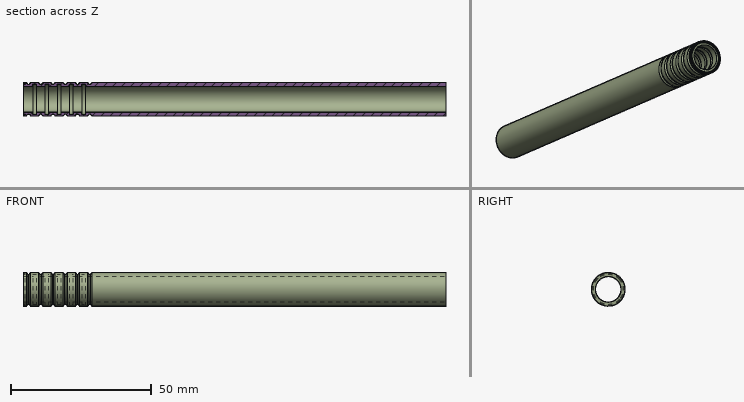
import cadquery as cq

length = 150.0
outer_diameter = 12.0
bore_diameter = 9.0
end_face = -length / 2

groove_count = 6
groove_pitch = 4.4
groove_start = 1.0
groove_width = 1.5
groove_floor_width = 0.5
groove_floor_diameter = 10.6

bore_groove_count = groove_count - 1
bore_groove_diameter = 10.6
bore_groove_width = 1.2
bore_groove_start = groove_start + (groove_width + groove_pitch - bore_groove_width) / 2

face_slot_inner_diameter = 10.6
face_slot_outer_diameter = 11.1
face_slot_depth = 0.6


def make_ring(start, width, inner_diameter, outer_diameter):
    """Square ring about the X axis, its near side at `start` from the grooved end."""
    return (
        cq.Workplane("YZ", origin=(end_face + start, 0, 0))
        .circle(outer_diameter / 2)
        .circle(inner_diameter / 2)
        .extrude(width)
    )


def make_outer_groove(start):
    """Cutter for one outer groove that opens at `start` from the grooved end."""
    near_edge = end_face + start
    far_edge = near_edge + groove_width
    wall_run = (groove_width - groove_floor_width) / 2
    outer_radius = outer_diameter / 2
    floor_radius = groove_floor_diameter / 2
    clear_radius = outer_diameter
    return (
        cq.Workplane("XY")
        .moveTo(near_edge, clear_radius)
        .lineTo(near_edge, outer_radius)
        .lineTo(near_edge + wall_run, floor_radius)
        .lineTo(far_edge - wall_run, floor_radius)
        .lineTo(far_edge, outer_radius)
        .lineTo(far_edge, clear_radius)
        .close()
        .revolve(360, (0, 0, 0), (1, 0, 0))
    )


result = make_ring(0, length, bore_diameter, outer_diameter)

for index in range(groove_count):
    result = result.cut(make_outer_groove(groove_start + index * groove_pitch))

for index in range(bore_groove_count):
    start = bore_groove_start + index * groove_pitch
    result = result.cut(
        make_ring(start, bore_groove_width, bore_diameter / 2, bore_groove_diameter)
    )

result = result.cut(
    make_ring(0, face_slot_depth, face_slot_inner_diameter, face_slot_outer_diameter)
)